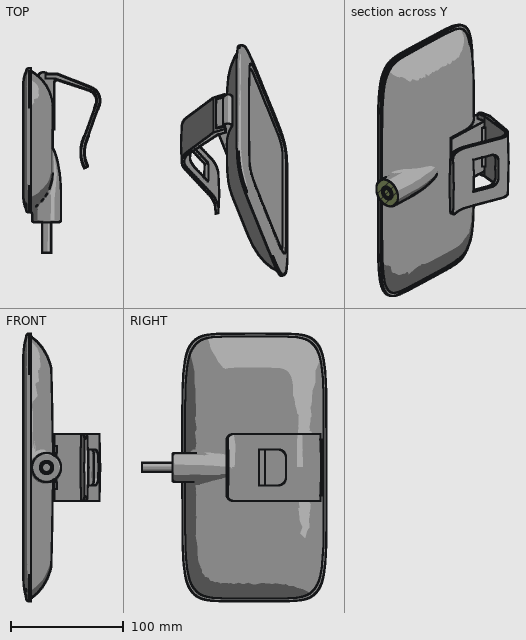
import cadquery as cq
import math

HALF_WIDTH = 64.1
HALF_HEIGHT = 118.885
OUTLINE_POWER = 6.6
OUTLINE_STEPS = 32
RIM_FRONT = 5.1
RIM_BACK = 7.0
BEAD_FRONT = 2.7
BEAD_INSET = 2.8
BAND_SECTIONS = 4

RECESS_HALF_WIDTH = 49.8
RECESS_HALF_HEIGHT = 97.6
RECESS_POWER = 9
FLOOR_HALF_WIDTH = 45.2
FLOOR_HALF_HEIGHT = 93.2
FLOOR_POWER = 11
RECESS_DEPTH = 1.6

BACK = 26.4
DOME_BASE_INSET = 2.6
DOME_FLAT_INSET = 36.0
DOME_SECTIONS = 7
DOME_OVERRUN = 1.15
DOME_END_STRETCH = 1.2
CROWN_DROP = 1.2

SOCKET_X = 20.8
SOCKET_RADIUS = 12.9
SOCKET_END = -72.7
SOCKET_NOSE = -48.3
NOSE_LENGTH = 46.0
NOSE_STEPS = 6
SOCKET_EDGE = 2.0
SOCKET_BLEND = 3.0
CABLE_RADIUS = 4.2
CABLE_END = HALF_WIDTH - 163.94
CABLE_BORE_RADIUS = 5.8
CABLE_BORE_DEPTH = 3.0

CLIP_HALF_HEIGHT = 29.8
CLIP_THINNING = 0.7
BEND_RADIUS = 13.0
STRIP_THICKNESS = 3.7
BEND_X = 68.54 - BEND_RADIUS
BEND_Y = 35.2
BEND_START = 69.8
BEND_END = -20.5
CLIP_ROOT_X = 20.0
CLIP_SHOULDER_X = 30.5
CLIP_TOP = 59.2
CLIP_UNDERSIDE = 54.2
TIP_CORNER = 7.0
TIP_Y = -25.0
TIP_CURL_X = 82.3
TIP_CURL_Y = -10.5
TIP_CURL_RADIUS = 31.6
TIP_THICKNESS = 4.0
TIP_CURL_START = 164.3
TIP_CURL_END = 207.0

WINDOW_HALF_HEIGHT = 15.9
WINDOW_BOTTOM = 4.0
WINDOW_TOP = 28.0
WINDOW_CORNER = 7.0
WINDOW_INNER_REACH = 3.0

FOOT_BACK = 27.8
FOOT_HALF_HEIGHT = 25.0
FOOT_LOW = 9.5
FOOT_DEPTH_IN_DOME = 22.0
KNUCKLE_X = 18.0
KNUCKLE_Y = 55.7
KNUCKLE_RADIUS = 4.8
RIB_HALF_HEIGHT = 19.2
RIB_REACH = 2.4


def outline(x, half_width, half_height, power):
    """Closed superellipse wire in the plane X = x, made of two mirrored halves."""
    def point(angle):
        c = math.cos(angle)
        s = math.sin(angle)
        scale = (abs(c) ** power + abs(s) ** power) ** (-1 / power)
        return cq.Vector(x, half_width * c * scale, half_height * s * scale)

    up = cq.Vector(0, 0, 1)
    halves = []
    for start, tangent in ((0, up), (math.pi, -up)):
        points = [point(start + math.pi * i / OUTLINE_STEPS) for i in range(OUTLINE_STEPS + 1)]
        halves.append(cq.Edge.makeSpline(points, tangents=[tangent, -tangent]))
    return cq.Wire.assembleEdges(halves)


def inset_outline(x, inset):
    return outline(x, HALF_WIDTH - inset, HALF_HEIGHT - inset, OUTLINE_POWER)


def loft(wires, ruled=False):
    return cq.Workplane(obj=cq.Solid.makeLoft(wires, ruled))


def front_band():
    """Front face, curving back parabolically from the recess edge to the rim bead."""
    wires = []
    for i in range(BAND_SECTIONS):
        t = i / (BAND_SECTIONS - 1)
        half_width = RECESS_HALF_WIDTH + t * (HALF_WIDTH - BEAD_INSET - RECESS_HALF_WIDTH)
        half_height = RECESS_HALF_HEIGHT + t * (HALF_HEIGHT - BEAD_INSET - RECESS_HALF_HEIGHT)
        power = RECESS_POWER + t * (OUTLINE_POWER - RECESS_POWER)
        wires.append(outline(BEAD_FRONT * t * t, half_width, half_height, power))
    return loft(wires)


def rim():
    bead_middle = BEAD_INSET * (1 - math.sqrt(0.5))
    bead_middle_x = RIM_FRONT - (RIM_FRONT - BEAD_FRONT) * math.sqrt(0.5)
    bead = loft([
        inset_outline(BEAD_FRONT, BEAD_INSET),
        inset_outline(bead_middle_x, bead_middle),
        inset_outline(RIM_FRONT, 0),
    ])
    side = loft([inset_outline(RIM_FRONT, 0), inset_outline(RIM_BACK, 0)], ruled=True)
    return bead.union(side)


def dome():
    """Back of the housing: an arc from the rim up to the flat, then crowned along Z."""
    rise = BACK - RIM_BACK
    run = DOME_FLAT_INSET - DOME_BASE_INSET
    radius = (rise ** 2 + run ** 2) / (2 * rise)
    sweep = math.asin(run / radius)
    wires = []
    for i in range(DOME_SECTIONS):
        angle = DOME_OVERRUN * sweep * (1 - i / (DOME_SECTIONS - 1))
        x = BACK - radius * (1 - math.cos(angle))
        slope_in = run - radius * math.sin(angle)
        half_width = HALF_WIDTH - DOME_BASE_INSET - slope_in
        half_height = HALF_HEIGHT - DOME_BASE_INSET - DOME_END_STRETCH * slope_in
        wires.append(outline(x, half_width, half_height, OUTLINE_POWER))
    flat_half = HALF_HEIGHT - DOME_FLAT_INSET
    crown_radius = (flat_half ** 2 + CROWN_DROP ** 2) / (2 * CROWN_DROP)
    crown = (
        cq.Workplane("XZ")
        .center(BACK - crown_radius, 0)
        .circle(crown_radius)
        .extrude(HALF_WIDTH, both=True)
    )
    return loft(wires).intersect(crown)


def recess():
    return loft([
        outline(0, RECESS_HALF_WIDTH, RECESS_HALF_HEIGHT, RECESS_POWER),
        outline(RECESS_DEPTH, FLOOR_HALF_WIDTH, FLOOR_HALF_HEIGHT, FLOOR_POWER),
    ], ruled=True)


def socket():
    """Cylinder with a rounded open end and a half-ellipsoid nose, turned about its own axis."""
    quarter_angles = [math.pi / 2 * (i + 1) / NOSE_STEPS for i in range(NOSE_STEPS)]
    nose = [
        (SOCKET_RADIUS * math.cos(angle), SOCKET_NOSE + NOSE_LENGTH * math.sin(angle))
        for angle in quarter_angles
    ]
    return (
        cq.Workplane("XY")
        .moveTo(0, SOCKET_END)
        .lineTo(SOCKET_RADIUS - SOCKET_EDGE, SOCKET_END)
        .radiusArc((SOCKET_RADIUS, SOCKET_END + SOCKET_EDGE), -SOCKET_EDGE)
        .lineTo(SOCKET_RADIUS, SOCKET_NOSE)
        .spline(nose, tangents=[(0, 1), (-1, 0)], includeCurrent=True)
        .close()
        .revolve(360, (0, 0, 0), (0, 1, 0))
        .translate((SOCKET_X, 0, 0))
    )


def back_with_socket():
    """Dome with the socket joined on and their seam filleted, trimmed off level with the rim."""
    joined = dome().union(socket())

    def on_seam(edge):
        box = edge.BoundingBox()
        spans_height = box.zlen > SOCKET_EDGE
        return edge.geomType() == "BSPLINE" and spans_height and box.zlen < 3 * SOCKET_RADIUS

    seam = [edge for edge in joined.edges().vals() if on_seam(edge)]
    blended = cq.Workplane(obj=joined.val().fillet(SOCKET_BLEND, seam))
    room = 4 * HALF_HEIGHT
    behind_rim = cq.Workplane("XY").box(room, room, room).translate((RIM_BACK + room / 2, 0, 0))
    return blended.intersect(behind_rim)


def rod(radius, start, end):
    """Cylinder on the socket axis between two Y positions."""
    return cq.Workplane("XZ", origin=(SOCKET_X, start, 0)).circle(radius).extrude(start - end)


def polar(center, radius, degrees):
    angle = math.radians(degrees)
    return (center[0] + radius * math.cos(angle), center[1] + radius * math.sin(angle))


def arc_points(center, radius, start, end):
    """Start, middle and end point of an arc given by its angles."""
    return [polar(center, radius, angle) for angle in (start, (start + end) / 2, end)]


def clip_profile(z, inset):
    """Outline of the bent strip at height z, with its broad faces moved in by inset."""
    bend = (BEND_X, BEND_Y)
    tip = (TIP_CURL_X, TIP_CURL_Y)
    bend_out = arc_points(bend, BEND_RADIUS - inset, BEND_START, BEND_END)
    bend_in = arc_points(bend, BEND_RADIUS - STRIP_THICKNESS + inset, BEND_END, BEND_START)
    tip_near = arc_points(tip, TIP_CURL_RADIUS - TIP_THICKNESS + inset, TIP_CURL_START, TIP_CURL_END)
    tip_far = arc_points(tip, TIP_CURL_RADIUS - inset, TIP_CURL_END, TIP_CURL_START)
    return (
        cq.Workplane("XY", origin=(0, 0, z))
        .moveTo(CLIP_ROOT_X, CLIP_TOP - inset)
        .lineTo(CLIP_SHOULDER_X, CLIP_TOP - inset)
        .lineTo(*bend_out[0])
        .threePointArc(*bend_out[1:])
        .lineTo(*tip_near[0])
        .threePointArc(*tip_near[1:])
        .lineTo(*tip_far[0])
        .threePointArc(*tip_far[1:])
        .lineTo(*bend_in[0])
        .threePointArc(*bend_in[1:])
        .lineTo(FOOT_BACK, CLIP_UNDERSIDE + inset)
        .lineTo(CLIP_ROOT_X, CLIP_UNDERSIDE + inset)
        .close()
        .val()
    )


def clip():
    upper = loft([clip_profile(0, 0), clip_profile(CLIP_HALF_HEIGHT, CLIP_THINNING)], ruled=True)
    return upper.union(upper.mirror("XY")).cut(tip_corners()).cut(window())


def tip_corners():
    """Material outside the rounded upper and lower corners of the free end."""
    corner_y = TIP_Y + TIP_CORNER
    corner_z = CLIP_HALF_HEIGHT - TIP_CORNER
    block = (
        cq.Workplane("YZ", origin=(CLIP_ROOT_X, 0, 0))
        .moveTo(corner_y, corner_z + TIP_CORNER)
        .radiusArc((TIP_Y, corner_z), -TIP_CORNER)
        .lineTo(TIP_Y - TIP_CORNER, corner_z)
        .lineTo(TIP_Y - TIP_CORNER, CLIP_HALF_HEIGHT + TIP_CORNER)
        .lineTo(corner_y, CLIP_HALF_HEIGHT + TIP_CORNER)
        .close()
        .extrude(BEND_X + BEND_RADIUS - CLIP_ROOT_X)
    )
    return block.union(block.mirror("XY"))


def window():
    height = WINDOW_TOP - WINDOW_BOTTOM
    depth = 2 * BEND_RADIUS
    return (
        cq.Workplane("YZ", origin=(BEND_X - WINDOW_INNER_REACH, WINDOW_BOTTOM + height / 2, 0))
        .rect(height, 2 * WINDOW_HALF_HEIGHT)
        .extrude(depth)
        .edges("|X and >Y")
        .fillet(WINDOW_CORNER)
    )


def foot():
    """Wedge filling the gap between the dome and the clip, with a rounded knuckle on top."""
    wedge = (
        cq.Workplane("XY")
        .moveTo(FOOT_BACK, FOOT_LOW)
        .lineTo(FOOT_BACK, CLIP_TOP)
        .lineTo(KNUCKLE_X, CLIP_TOP)
        .lineTo(KNUCKLE_X - KNUCKLE_RADIUS, KNUCKLE_Y)
        .lineTo(FOOT_DEPTH_IN_DOME, FOOT_LOW)
        .close()
        .extrude(FOOT_HALF_HEIGHT, both=True)
    )
    knuckle = (
        cq.Workplane("XY")
        .center(KNUCKLE_X, KNUCKLE_Y)
        .circle(KNUCKLE_RADIUS)
        .extrude(FOOT_HALF_HEIGHT, both=True)
    )
    rib = (
        cq.Workplane("XY")
        .moveTo(FOOT_BACK, CLIP_UNDERSIDE - RIB_REACH)
        .lineTo(FOOT_BACK + RIB_REACH, CLIP_UNDERSIDE)
        .lineTo(FOOT_BACK, CLIP_TOP)
        .close()
        .extrude(RIB_HALF_HEIGHT, both=True)
    )
    return wedge.union(knuckle).union(rib)


housing = front_band().union(rim()).union(back_with_socket())
body = housing.union(foot()).union(clip())
bore = rod(CABLE_BORE_RADIUS, SOCKET_END + CABLE_BORE_DEPTH, SOCKET_END)
cable = rod(CABLE_RADIUS, SOCKET_END + CABLE_BORE_DEPTH, CABLE_END)
result = body.cut(recess()).cut(bore).union(cable)